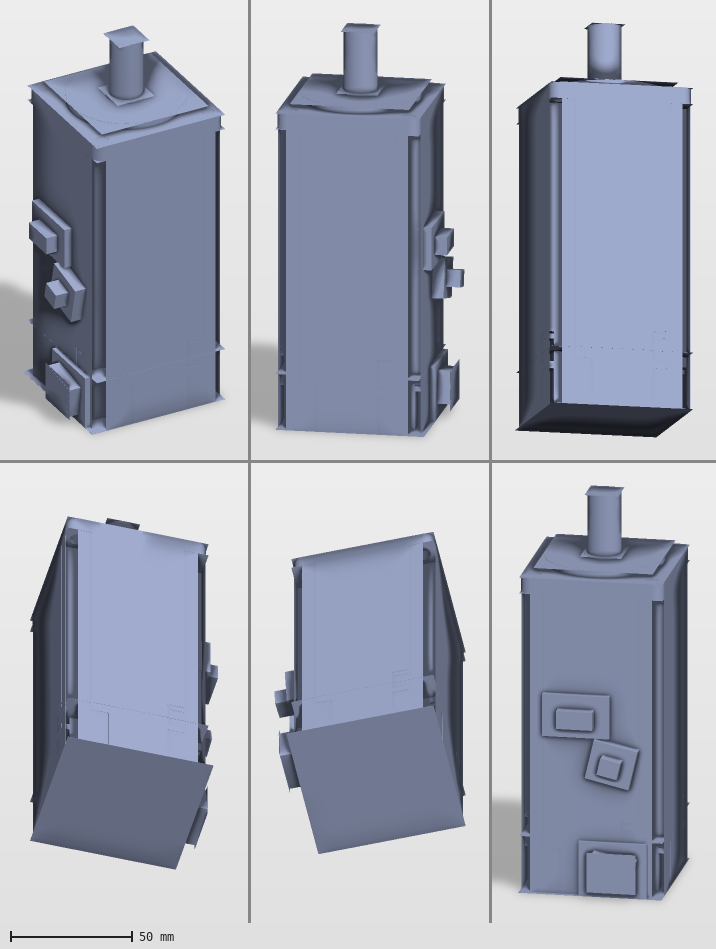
import cadquery as cq

body_side = 60.1
half_side = body_side / 2
total_height = 165.1
flange_top = 135.0
flange_thickness = 7.0
flange_bottom = flange_top - flange_thickness
flange_corner_radius = 4.5
encoder_top = 24.0
seam_depth = 0.08

pilot_diameter = 50.0
pilot_height = 3.0
pilot_top = flange_top + pilot_height
seal_diameter = 17.3
seal_height = 1.0
seal_top = pilot_top + seal_height
shaft_diameter = 14.0

hole_diameter = 5.8
hole_offset = 24.6

notch_side = 10.4
notch_inner_radius = 4.0
pocket_length = 17.5
pocket_depth = 3.6
lower_roof = 19.5
upper_roof = 32.0
tab_bottom = 16.5

ledge_height = 2.0
ledge_drop = 1.0
ledge_end_gap = 0.8
front_ledge_inset = 1.0

sheet_thickness = 0.08
sheet_setback = 0.08
cover_width = body_side - 2 * flange_corner_radius

power_base_center = (-5.8, 77.5)
power_base_size = (28.0, 18.0)
power_base_height = 3.5
power_base_inset = 3.6
power_plug_center = (-5.5, 77.1)
power_plug_size = (15.2, 7.6)
power_plug_height = 8.6

brake_center = (9.4, 57.8)
brake_tilt = 13.0
brake_base_size = (18.8, 16.8)
brake_base_height = 5.0
brake_plug_size = (8.6, 7.3)
brake_plug_height = 10.7

signal_base_left = -4.8
signal_base_size = (28.5, 23.5)
signal_base_center = (signal_base_left + signal_base_size[0] / 2, signal_base_size[1] / 2)
signal_base_height = 2.1
signal_plug_center = (9.9, 11.9)
signal_plug_tilt = 9.0
signal_plug_size = (18.5, 14.0)
signal_plug_height = 7.6
signal_face_size = (20.5, 17.0)


def block(x_range, y_range, z_range):
    """Box between two limits on each axis."""
    sizes = [high - low for low, high in (x_range, y_range, z_range)]
    corner = (x_range[0], y_range[0], z_range[0])
    return cq.Workplane("XY").box(*sizes, centered=False).translate(corner)


def cylinder(diameter, bottom, top):
    """Round section on the motor axis."""
    return cq.Workplane("XY").workplane(offset=bottom).circle(diameter / 2).extrude(top - bottom)


def square_sheet(side, top):
    """Thin square sheet on the motor axis, just under the level `top`."""
    level = top - sheet_setback - sheet_thickness
    return cq.Workplane("XY").workplane(offset=level).rect(side, side).extrude(sheet_thickness)


def front_block(center, size, height, inset=0.0, tilt=0.0):
    """Block on the -Y face, from `inset` below the face to `height` above it, tilted clockwise."""
    x, z = center
    return (
        cq.Workplane("XZ", origin=(x, inset - half_side, z))
        .transformed(rotate=(0, 0, -tilt))
        .rect(*size)
        .extrude(inset + height)
    )


def around(shape):
    """The shape repeated at the four sides or corners."""
    return [shape.rotate((0, 0, 0), (0, 0, 1), 90 * turn) for turn in range(4)]


def corner_cut():
    """Notch and side pockets of the (-X, -Y) corner."""
    edge = -half_side
    notch_range = (edge, edge + notch_side)
    long_range = (edge, edge + pocket_length)
    deep_range = (edge, edge + pocket_depth)

    notch = block(notch_range, notch_range, (0, flange_bottom))
    notch = notch.edges("|Z and >X and >Y").fillet(notch_inner_radius)

    front_pocket = block(long_range, deep_range, (0, lower_roof))
    side_pocket = block(deep_range, long_range, (lower_roof, upper_roof))
    bottom_pocket = block(deep_range, long_range, (0, tab_bottom))
    return notch.union(front_pocket).union(side_pocket).union(bottom_pocket)


def corner_ledges():
    """Ledges in the front and side pockets of the (-X, -Y) corner."""
    edge = -half_side
    length_range = (edge + notch_side, edge + pocket_length - ledge_end_gap)
    front_range = (edge + front_ledge_inset, edge + pocket_depth)
    side_range = (edge, edge + pocket_depth)
    front_ledge_top = lower_roof - ledge_drop
    side_ledge_top = upper_roof - ledge_drop
    front_ledge = block(length_range, front_range, (front_ledge_top - ledge_height, front_ledge_top))
    side_ledge = block(side_range, length_range, (side_ledge_top - ledge_height, side_ledge_top))
    return front_ledge, side_ledge


result = cq.Workplane("XY").rect(body_side, body_side).extrude(flange_top)
result = result.edges("|Z").fillet(flange_corner_radius)
for cut in around(corner_cut()):
    result = result.cut(cut)
for ledge in corner_ledges():
    for turned_ledge in around(ledge):
        result = result.union(turned_ledge)

holes = (
    cq.Workplane("XY", origin=(0, 0, flange_bottom))
    .rect(2 * hole_offset, 2 * hole_offset, forConstruction=True)
    .vertices()
    .circle(hole_diameter / 2)
    .extrude(flange_thickness)
)
result = result.cut(holes)

seam_side = body_side - 2 * seam_depth
seam = (
    cq.Workplane("XY", origin=(0, 0, encoder_top))
    .rect(body_side, body_side)
    .rect(seam_side, seam_side)
    .extrude(seam_depth)
)
result = result.cut(seam)

result = result.union(cylinder(pilot_diameter, flange_top, pilot_top))
result = result.union(cylinder(seal_diameter, pilot_top, seal_top))
result = result.union(cylinder(shaft_diameter, seal_top, total_height))

level_sheets = [
    (shaft_diameter, total_height),
    (seal_diameter, seal_top),
    (pilot_diameter, pilot_top),
    (body_side, flange_top),
    (body_side, encoder_top),
]
for side, top in level_sheets:
    result = result.union(square_sheet(side, top))
flange_sheet_top = flange_bottom + sheet_thickness
flange_sheet = block((-half_side, half_side), (-half_side, half_side), (flange_bottom, flange_sheet_top))
result = result.union(flange_sheet.cut(holes))

bottom_sheet = block(
    (-half_side, half_side),
    (-half_side - signal_base_height, half_side),
    (0, sheet_thickness),
)
result = result.union(bottom_sheet)

cover_outside = sheet_setback - half_side
cover = block(
    (-cover_width / 2, cover_width / 2),
    (cover_outside, cover_outside + sheet_thickness),
    (0, flange_bottom),
)
for side_cover in around(cover):
    result = result.union(side_cover)

result = result.union(front_block(power_base_center, power_base_size, power_base_height, power_base_inset))
result = result.union(front_block(power_plug_center, power_plug_size, power_plug_height))

for size, height in ((brake_base_size, brake_base_height), (brake_plug_size, brake_plug_height)):
    result = result.union(front_block(brake_center, size, height, sheet_setback, brake_tilt))

signal_plug = front_block(signal_plug_center, signal_plug_size, signal_plug_height, tilt=signal_plug_tilt)
signal_face_height = signal_plug_height - sheet_setback
signal_face_inset = sheet_thickness - signal_face_height
signal_face = front_block(signal_plug_center, signal_face_size, signal_face_height, signal_face_inset)
result = result.union(front_block(signal_base_center, signal_base_size, signal_base_height, sheet_setback))
result = result.union(signal_plug).union(signal_face)